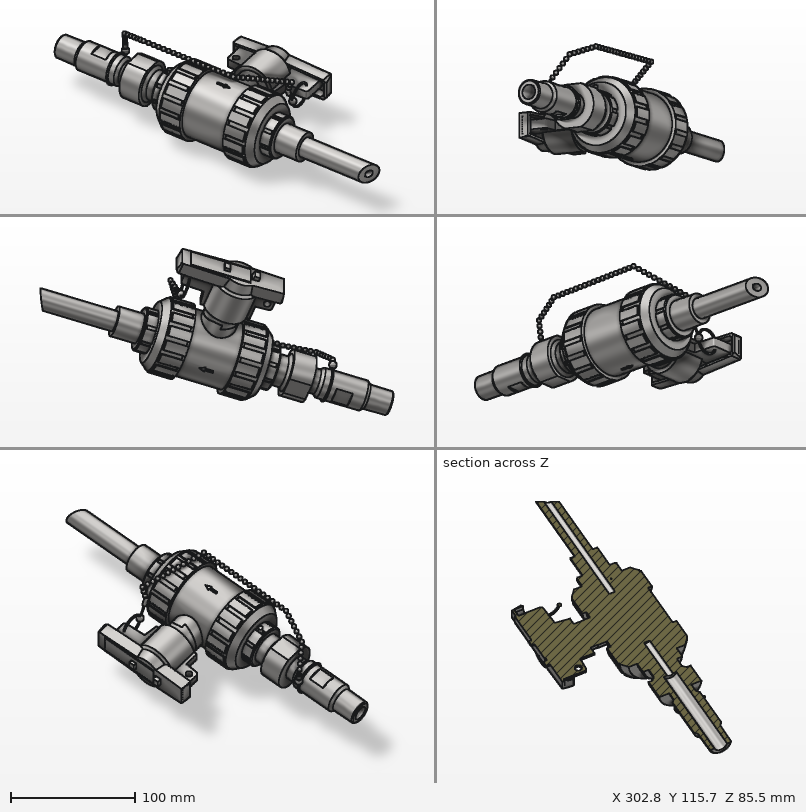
import cadquery as cq
import math


body_diameter = 56.7
nut_diameter = 61.52
rib_diameter = 63.5
nut_face_diameter = 51.5
nut_inner_x = 20.9
nut_rib_end_x = 39.7
nut_shoulder_x = 41.5
nut_outer_x = 47.5
nut_lip_diameter = 63.0
nut_lip_length = 2.0
rib_end_slope = 0.8
rib_count = 16
rib_angle = 15.5

collar_diameter = 36.5
collar_slot_floor_diameter = 34.54
collar_end_x = 57.6
collar_slot_count = 8
collar_slot_width = 3.0
collar_slot_end_wall = 2.0
collar_chamfer = 1.0
pin_diameter = 3.81
pin_x = -52.0
pin_top_z = 22.4

overall_length = 302.82
inlet_end_x = -157.3
inlet_chamfer = 1.0
spigot_end_diameter = 20.2
spigot_diameter = 20.8
spigot_x = -137.2
barrel_diameter = 25.4
barrel_start_x = -134.4
barrel_end_x = -97.6
neck_start_x = -94.7
neck_diameter = 20.8
coupling_start_x = -87.7
coupling_end_x = -68.8
coupling_diameter = 38.7
coupling_across_flats = 35.75
shoulder_diameter = 31.6
tail_start_x = -66.0
tail_diameter = 26.2
wrench_flat_center_x = -116.4
wrench_flat_length = 13.8
wrench_flats_apart = 21.8
inlet_bore_diameter = 11.91
inlet_bore_end_x = -70.0
seat_bore_diameter = 6.35
seat_bore_end_x = -30.0

hub_end_x = 78.8
hub_diameter = 25.2
tube_diameter = 17.14
tube_bore_diameter = 6.35
tube_tip_x = inlet_end_x + overall_length
tube_heel_x = 136.6
outlet_bore_start_x = 30.0

arrow_center_x = 0.2
arrow_length = 12.0
arrow_head_length = 5.0
arrow_head_width = 4.0
arrow_shaft_width = 1.8
arrow_height = 0.5

stem_diameter = 29.98
stem_neck_diameter = 29.5
cam_low_y = 32.5
cam_right_y = 33.7
cam_left_y = 36.3
cam_step_y = 36.6
cam_flat_length = 7.0
handle_hub_diameter = 37.34
handle_hub_bottom_y = 42.8
handle_hub_top_y = 69.3
bar_bottom_y = 70.0
bar_top_y = 80.4
bar_left_x = -38.4
bar_right_x = 52.2
bar_end_lean = 1.6
bar_end_half_width = 10.0
bar_left_corner = 0.8
bar_right_corner = 2.5
bar_lower_chamfer = 1.3
bar_middle_half_width = 12.0
bar_wall = 2.0
bar_roof = 2.5
cap_top_radius = 15.1
cap_bottom_radius = 16.3
cap_flare_y = 71.4
pad_left_x = -8.0
pad_right_x = 43.4
pad_width = 18.0
pad_top_y = 81.3
bump_top_y = 83.9
bump_outer_x = 15.0
bump_inner_x = 9.5
bump_lean = 1.0
bump_width = 7.0

web_thickness = 7.7
web_left_x = -34.6
web_right_x = 43.3
web_outer_bottom_y = 56.6
web_step_y = 55.7
web_foot_half_length = 21.2
web_step_right_x = 22.9
web_corner_radius = 2.5
lock_hole_diameter = 5.5
lock_hole_y = 61.8
lock_hole_x = -29.1
lock_ring_x = 38.0

bead_diameter = 3.81
chain_top_z = 53.79
link_diameter = 1.2
bead_pitch = 4.8
chain_corners = [
    (-103.6, 12.8, 18.0),
    (-94.7, -1.1, 40.8),
    (-69.7, -10.9, 50.4),
    (17.0, -11.0, chain_top_z - bead_diameter / 2),
    (43.4, 34.2, 28.5),
    (38.5, 35.4, 16.5),
]
end_ball_diameter = 6.35
end_sleeve_diameter = 3.81
end_sleeve_length = 5.0
barrel_ring_x = -103.6
barrel_ring_radius = 13.4
barrel_ring_wire = 1.6
barrel_ball = (barrel_ring_x, 13.3, 10.0)
lock_ring_center = (lock_ring_x, 53.8, 0.6)
lock_ring_radius = 10.2
lock_ring_wire = 1.4
lock_ball = (lock_ring_x, lock_ring_center[1] - lock_ring_radius, lock_ring_center[2])


def x_cylinder(diameter, start_x, end_x):
    return cq.Workplane("YZ").workplane(offset=start_x).circle(diameter / 2).extrude(end_x - start_x)


def y_cylinder(diameter, start_y, end_y):
    return cq.Workplane("XZ", origin=(0, start_y, 0)).circle(diameter / 2).extrude(start_y - end_y)


def box_between(low, high):
    size = [b - a for a, b in zip(low, high)]
    return cq.Workplane("XY").box(*size, centered=False).translate(low)


def make_inlet():
    """Turned fitting from the pipe end to the inside of the -X union nut."""
    outline = [
        (inlet_end_x, 0),
        (inlet_end_x, spigot_end_diameter / 2 - inlet_chamfer),
        (inlet_end_x + inlet_chamfer, spigot_end_diameter / 2),
        (spigot_x, spigot_diameter / 2),
        (barrel_start_x, barrel_diameter / 2),
        (barrel_end_x, barrel_diameter / 2),
        (neck_start_x, neck_diameter / 2),
        (coupling_end_x, neck_diameter / 2),
        (coupling_end_x, shoulder_diameter / 2),
        (tail_start_x, tail_diameter / 2),
        (-nut_outer_x, tail_diameter / 2),
        (-nut_outer_x, 0),
    ]
    fitting = cq.Workplane("XY").polyline(outline).close().revolve(360, (0, 0, 0), (1, 0, 0))
    coupling = x_cylinder(coupling_diameter, coupling_start_x, coupling_end_x)
    coupling = coupling.intersect(
        box_between(
            (coupling_start_x, -coupling_diameter, -coupling_across_flats / 2),
            (coupling_end_x, coupling_diameter, coupling_across_flats / 2),
        )
    )
    for side in (-1, 1):
        flat_cut = cq.Workplane("XY").box(wrench_flat_length, barrel_diameter, barrel_diameter)
        cut_z = side * (wrench_flats_apart + barrel_diameter) / 2
        fitting = fitting.cut(flat_cut.translate((wrench_flat_center_x, 0, cut_z)))
    return fitting.union(coupling)


def make_outlet():
    """Plain hub and a tube whose end is bevelled toward -Y."""
    tube_radius = tube_diameter / 2
    tube_side = (
        cq.Workplane("XY")
        .moveTo(hub_end_x, -tube_radius)
        .lineTo(tube_heel_x, -tube_radius)
        .lineTo(tube_tip_x, tube_radius)
        .lineTo(hub_end_x, tube_radius)
        .close()
        .extrude(tube_radius, both=True)
    )
    tube = x_cylinder(tube_diameter, hub_end_x, tube_tip_x).intersect(tube_side)
    return x_cylinder(hub_diameter, nut_outer_x, hub_end_x).union(tube)


def make_nut():
    """Ribbed union nut on the -X side."""
    outline = [
        (-nut_outer_x, 0),
        (-nut_outer_x, nut_face_diameter / 2),
        (-nut_shoulder_x, nut_diameter / 2),
        (-nut_inner_x, nut_diameter / 2),
        (-nut_inner_x, 0),
    ]
    nut = cq.Workplane("XY").polyline(outline).close().revolve(360, (0, 0, 0), (1, 0, 0))
    nut = nut.union(x_cylinder(nut_lip_diameter, -nut_inner_x - nut_lip_length, -nut_inner_x))
    half_angle = math.radians(rib_angle / 2)
    reach = rib_diameter
    half_reach = reach * math.tan(half_angle)
    wedge = (
        cq.Workplane("YZ")
        .workplane(offset=-nut_shoulder_x)
        .polyline([(0, 0), (reach, -half_reach), (reach, half_reach)])
        .close()
        .extrude(nut_shoulder_x - nut_inner_x)
    )
    rib_outline = [
        (-nut_rib_end_x - rib_end_slope, 0),
        (-nut_rib_end_x - rib_end_slope, nut_diameter / 2),
        (-nut_rib_end_x, rib_diameter / 2),
        (-nut_inner_x, rib_diameter / 2),
        (-nut_inner_x, 0),
    ]
    rib_ring = cq.Workplane("XY").polyline(rib_outline).close().revolve(360, (0, 0, 0), (1, 0, 0))
    rib = wedge.intersect(rib_ring)
    for index in range(rib_count):
        nut = nut.union(rib.rotate((0, 0, 0), (1, 0, 0), index * 360 / rib_count))
    return nut


def make_collar():
    """Collar on the -X side with shallow lengthwise slots, closed at the outer end."""
    collar = x_cylinder(collar_diameter, -collar_end_x, -nut_outer_x).faces("<X").chamfer(collar_chamfer)
    slot = box_between(
        (-collar_end_x + collar_slot_end_wall, -collar_slot_width / 2, collar_slot_floor_diameter / 2),
        (-nut_outer_x, collar_slot_width / 2, collar_diameter),
    )
    for index in range(collar_slot_count):
        collar = collar.cut(slot.rotate((0, 0, 0), (1, 0, 0), index * 360 / collar_slot_count))
    return collar


def make_flow_arrow():
    """Arrow pointing to +X, raised on the top of the body."""
    tail_x = arrow_center_x - arrow_length / 2
    tip_x = arrow_center_x + arrow_length / 2
    neck_x = tip_x - arrow_head_length
    outline = [
        (tail_x, -arrow_shaft_width / 2),
        (neck_x, -arrow_shaft_width / 2),
        (neck_x, -arrow_head_width / 2),
        (tip_x, 0),
        (neck_x, arrow_head_width / 2),
        (neck_x, arrow_shaft_width / 2),
        (tail_x, arrow_shaft_width / 2),
    ]
    return cq.Workplane("XY").polyline(outline).close().extrude(body_diameter / 2 + arrow_height)


def make_stem():
    """Stem with a stepped cam sleeve around its lower part."""
    radius = stem_diameter / 2
    sleeve_side = (
        cq.Workplane("XY")
        .polyline(
            [
                (-radius, 0),
                (-radius, cam_left_y),
                (0, cam_low_y),
                (0, cam_step_y),
                (cam_flat_length, cam_step_y),
                (radius, cam_right_y),
                (radius, 0),
            ]
        )
        .close()
        .extrude(radius, both=True)
    )
    sleeve = y_cylinder(stem_diameter, 0, cam_step_y).intersect(sleeve_side)
    return y_cylinder(stem_neck_diameter, 0, handle_hub_bottom_y).union(sleeve)


def bar_plan(wall):
    """Handle bar outline in X and Z, moved inward by the wall, widest at the stem."""
    left = bar_left_x + wall
    right = bar_right_x - wall
    end = bar_end_half_width - wall
    middle = bar_middle_half_width - wall
    upper = [
        (left, end - bar_left_corner),
        (left + bar_left_corner, end),
        (0, middle),
        (right - bar_right_corner, end),
        (right, end - bar_right_corner),
    ]
    return upper + [(x, -z) for x, z in reversed(upper)]


def make_bar():
    """Handle bar, hollow from below, with ends that lean inward toward the top."""
    chamfer_top_y = bar_bottom_y + bar_lower_chamfer
    side_outline = [
        (bar_left_x + bar_lower_chamfer, bar_bottom_y),
        (bar_left_x, chamfer_top_y),
        (bar_left_x + bar_end_lean, bar_top_y),
        (bar_right_x - bar_end_lean, bar_top_y),
        (bar_right_x, chamfer_top_y),
        (bar_right_x - bar_lower_chamfer, bar_bottom_y),
    ]
    side = cq.Workplane("XY").polyline(side_outline).close().extrude(bar_middle_half_width, both=True)
    height = bar_top_y - bar_bottom_y
    bar = cq.Workplane("XZ", origin=(0, bar_top_y, 0)).polyline(bar_plan(0)).close().extrude(height)
    cavity = cq.Workplane("XZ", origin=(0, bar_top_y - bar_roof, 0)).polyline(bar_plan(bar_wall)).close()
    return bar.intersect(side).cut(cavity.extrude(height))


def make_handle():
    """Round hub, flared cap, bar, top pad and two finger bumps."""
    hub_radius = handle_hub_diameter / 2
    hub_outline = [
        (0, handle_hub_bottom_y),
        (hub_radius, handle_hub_bottom_y),
        (hub_radius, handle_hub_top_y),
        (cap_bottom_radius, cap_flare_y),
        (cap_top_radius, bar_top_y),
        (0, bar_top_y),
    ]
    handle = make_bar()
    handle = handle.union(cq.Workplane("XY").polyline(hub_outline).close().revolve(360, (0, 0, 0), (0, 1, 0)))
    pad = box_between((pad_left_x, bar_top_y, -pad_width / 2), (pad_right_x, pad_top_y, pad_width / 2))
    handle = handle.union(pad)
    for side in (-1, 1):
        bump_outline = [
            (side * bump_outer_x, bar_top_y),
            (side * bump_outer_x, bump_top_y),
            (side * (bump_inner_x + bump_lean), bump_top_y),
            (side * bump_inner_x, bar_top_y),
        ]
        bump = cq.Workplane("XY").polyline(bump_outline).close().extrude(bump_width / 2, both=True)
        handle = handle.union(bump)
    return handle


def make_lock_web():
    """Flat web along the hub with two ears, the -X one holed for a padlock."""
    web = (
        cq.Workplane("XY")
        .polyline(
            [
                (web_left_x, bar_top_y - bar_roof),
                (web_left_x, web_outer_bottom_y),
                (-web_foot_half_length, web_step_y),
                (-web_foot_half_length, handle_hub_bottom_y),
                (web_foot_half_length, handle_hub_bottom_y),
                (web_step_right_x, web_step_y),
                (web_right_x, web_outer_bottom_y),
                (web_right_x, bar_top_y - bar_roof),
            ]
        )
        .close()
        .extrude(web_thickness / 2, both=True)
    )
    for ear_x in (web_left_x, web_right_x):
        corner = cq.selectors.NearestToPointSelector((ear_x, web_outer_bottom_y, 0))
        web = web.edges("|Z").edges(corner).fillet(web_corner_radius)
    hole = cq.Workplane("XY").center(lock_hole_x, lock_hole_y).circle(lock_hole_diameter / 2)
    return web.cut(hole.extrude(web_thickness, both=True))


def rod(start, end, diameter):
    start = cq.Vector(*start)
    span = cq.Vector(*end) - start
    return cq.Workplane(cq.Solid.makeCylinder(diameter / 2, span.Length, start, span))


def ball(center, diameter):
    return cq.Workplane("XY").sphere(diameter / 2).translate(center)


def ring_around_x(center, radius, wire):
    return cq.Workplane(cq.Solid.makeTorus(radius, wire / 2, cq.Vector(*center), cq.Vector(1, 0, 0)))


def make_chain_run(start, end):
    """Straight run of evenly spaced beads on a wire, ending with a bead at its far corner."""
    start = cq.Vector(*start)
    span = cq.Vector(*end) - start
    count = round(span.Length / bead_pitch)
    pitch = span.Length / count
    bead_radius = bead_diameter / 2
    wire_radius = link_diameter / 2
    reach = math.sqrt(bead_radius**2 - wire_radius**2)
    run = cq.Workplane(cq.Plane(origin=start, xDir=span.cross(cq.Vector(0, 0, 1)), normal=span))
    run = run.transformed(rotate=(90, 0, 0)).moveTo(0, 0).lineTo(wire_radius, 0)
    for index in range(1, count + 1):
        bead_center = index * pitch
        run = run.lineTo(wire_radius, bead_center - reach)
        if index < count:
            run = run.threePointArc((bead_radius, bead_center), (wire_radius, bead_center + reach))
    run = run.threePointArc((bead_radius, span.Length), (0, span.Length + bead_radius))
    return run.close().revolve(360, (0, 0, 0), (0, 1, 0))


def make_end_fitting(chain_end, ball_center):
    """Sleeve at the end of the chain, joined by a wire to a ball."""
    end = cq.Vector(*chain_end)
    direction = (cq.Vector(*ball_center) - end).normalized()
    sleeve_end = (end + direction * end_sleeve_length).toTuple()
    fitting = rod(chain_end, sleeve_end, end_sleeve_diameter)
    fitting = fitting.union(rod(chain_end, ball_center, link_diameter))
    return fitting.union(ball(ball_center, end_ball_diameter))


def make_chain():
    chain = make_end_fitting(chain_corners[0], barrel_ball)
    for start, end in zip(chain_corners, chain_corners[1:]):
        chain = chain.union(make_chain_run(start, end))
    chain = chain.union(make_end_fitting(chain_corners[-1], lock_ball))
    barrel_ring = ring_around_x((barrel_ring_x, 0, 0), barrel_ring_radius, barrel_ring_wire)
    lock_ring = ring_around_x(lock_ring_center, lock_ring_radius, lock_ring_wire)
    return chain.union(barrel_ring).union(lock_ring)


def make_bores():
    inlet = x_cylinder(inlet_bore_diameter, inlet_end_x, inlet_bore_end_x)
    seat = x_cylinder(seat_bore_diameter, inlet_end_x, seat_bore_end_x)
    outlet = x_cylinder(tube_bore_diameter, outlet_bore_start_x, tube_tip_x)
    return [inlet, seat, outlet]


valve = x_cylinder(body_diameter, -nut_inner_x, nut_inner_x)
for end_piece in (make_nut(), make_collar()):
    valve = valve.union(end_piece).union(end_piece.mirror("YZ"))
valve = valve.union(make_inlet()).union(make_outlet())
pin = cq.Workplane("XY").center(pin_x, 0).circle(pin_diameter / 2).extrude(pin_top_z)
valve = valve.union(pin)
flow_arrow = make_flow_arrow()
valve = valve.union(flow_arrow).union(flow_arrow.mirror("XY"))
valve = valve.union(make_stem()).union(make_handle()).union(make_lock_web())
for bore in make_bores():
    valve = valve.cut(bore)

result = valve.union(make_chain())